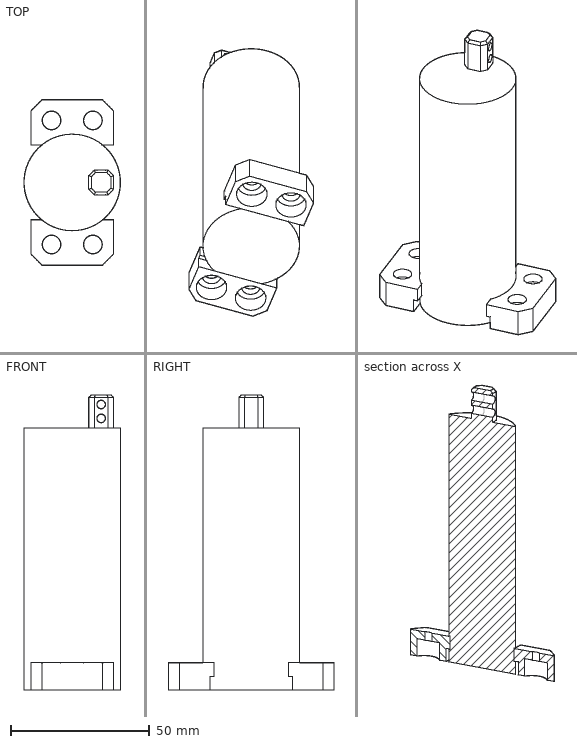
import cadquery as cq

TOTAL_HEIGHT = 107.0
TOTAL_DEPTH = 60.0

BODY_DIAMETER = 35.0
BODY_HEIGHT = 95.0

STEM_WIDTH = 9.0
STEM_OFFSET = 10.5
STEM_EDGE_CHAMFER = 2.0
STEM_TOP_CHAMFER = 1.0
STEM_HEIGHT = TOTAL_HEIGHT - BODY_HEIGHT

CROSS_HOLE_DIAMETER = 3.0
UPPER_HOLE_DEPTH = 3.5
CROSS_HOLE_PITCH = 5.0
CROSS_HOLE_HEIGHTS = [
    TOTAL_HEIGHT - UPPER_HOLE_DEPTH,
    TOTAL_HEIGHT - UPPER_HOLE_DEPTH - CROSS_HOLE_PITCH,
]

CLAMP_WIDTH = 30.0
CLAMP_HEIGHT = 10.0
CLAMP_CORNER_CHAMFER = 4.1
CLAMP_OUTER_Y = TOTAL_DEPTH / 2
TONGUE_Y = 13.5
LIP_Y = 15.0
LIP_HEIGHT = CLAMP_HEIGHT / 2

MOUNT_HOLE_DIAMETER = 6.6
MOUNT_HOLE_PITCH = 15.0
MOUNT_HOLE_Y = 22.5
COUNTERBORE_DIAMETER = 11.0
COUNTERBORE_DEPTH = 6.6


def make_clamp_blank():
    """Clamp on the +Y side: a hooked profile, thinner at the bottom, extruded along X."""
    profile = [
        (LIP_Y, 0),
        (CLAMP_OUTER_Y, 0),
        (CLAMP_OUTER_Y, CLAMP_HEIGHT),
        (TONGUE_Y, CLAMP_HEIGHT),
        (TONGUE_Y, LIP_HEIGHT),
        (LIP_Y, LIP_HEIGHT),
    ]
    return cq.Workplane("YZ").polyline(profile).close().extrude(CLAMP_WIDTH / 2, both=True)


def make_mount_cylinders(diameter, height):
    """Pair of cylinders on the mounting hole axes, rising from the bottom of the clamp."""
    return (
        cq.Workplane("XY")
        .center(0, MOUNT_HOLE_Y)
        .rarray(MOUNT_HOLE_PITCH, 1.1, 2, 1)
        .circle(diameter / 2)
        .extrude(height)
    )


def make_clamp(turn):
    """Foot clamp with cut outer corners and two holes counterbored from below, turned about Z."""
    clamp = make_clamp_blank()
    clamp = clamp.faces(">Y").edges("|Z").chamfer(CLAMP_CORNER_CHAMFER)
    clamp = clamp.cut(make_mount_cylinders(MOUNT_HOLE_DIAMETER, CLAMP_HEIGHT))
    clamp = clamp.cut(make_mount_cylinders(COUNTERBORE_DIAMETER, COUNTERBORE_DEPTH))
    return clamp.rotate((0, 0, 0), (0, 0, 1), turn)


def make_stem():
    """Square stem with chamfered edges and two cross holes."""
    stem = (
        cq.Workplane("XY", origin=(STEM_OFFSET, 0, BODY_HEIGHT))
        .rect(STEM_WIDTH, STEM_WIDTH)
        .extrude(STEM_HEIGHT)
        .edges("|Z")
        .chamfer(STEM_EDGE_CHAMFER)
        .faces(">Z")
        .chamfer(STEM_TOP_CHAMFER)
    )
    for height in CROSS_HOLE_HEIGHTS:
        hole = (
            cq.Workplane("XZ", origin=(STEM_OFFSET, 0, height))
            .circle(CROSS_HOLE_DIAMETER / 2)
            .extrude(STEM_WIDTH, both=True)
        )
        stem = stem.cut(hole)
    return stem


def make_cylinder(clamps):
    """Cylinder and stem in one piece, with side slots that match the clamps."""
    cylinder = cq.Workplane("XY").circle(BODY_DIAMETER / 2).extrude(BODY_HEIGHT)
    cylinder = cylinder.union(make_stem())
    for clamp in clamps:
        cylinder = cylinder.cut(clamp)
    return cylinder


clamps = [make_clamp(turn) for turn in (0, 180)]
cylinder = make_cylinder(clamps)

result = cq.Compound.makeCompound([
    cylinder.solids().val(),
    *[clamp.solids().val() for clamp in clamps],
])